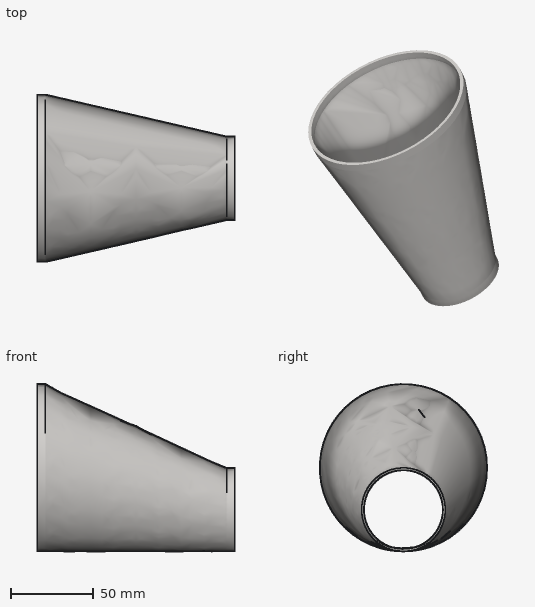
import cadquery as cq

length = 120.0
collar_length = 5.0
large_outer_diameter = 101.6
large_inner_diameter = 97.5
small_outer_diameter = 50.8
small_inner_diameter = 47.8

small_center_z = (small_outer_diameter - large_outer_diameter) / 2
cone_length = length - 2 * collar_length
small_collar_x = length - collar_length


def collar(diameter, start_x, center_z):
    """Straight cylinder along X at one end of the reducer."""
    return (
        cq.Workplane("YZ", origin=(start_x, 0, center_z))
        .circle(diameter / 2)
        .extrude(collar_length)
    )


def reducer_body(large_diameter, small_diameter):
    """Solid oblique cone with a straight collar at each end."""
    cone = (
        cq.Workplane("YZ", origin=(collar_length, 0, 0))
        .circle(large_diameter / 2)
        .workplane(offset=cone_length)
        .center(0, small_center_z)
        .circle(small_diameter / 2)
        .loft(ruled=True)
    )
    large_collar = collar(large_diameter, 0, 0)
    small_collar = collar(small_diameter, small_collar_x, small_center_z)
    return cone.union(large_collar).union(small_collar)


outer_body = reducer_body(large_outer_diameter, small_outer_diameter)
bore = reducer_body(large_inner_diameter, small_inner_diameter)

result = outer_body.cut(bore)